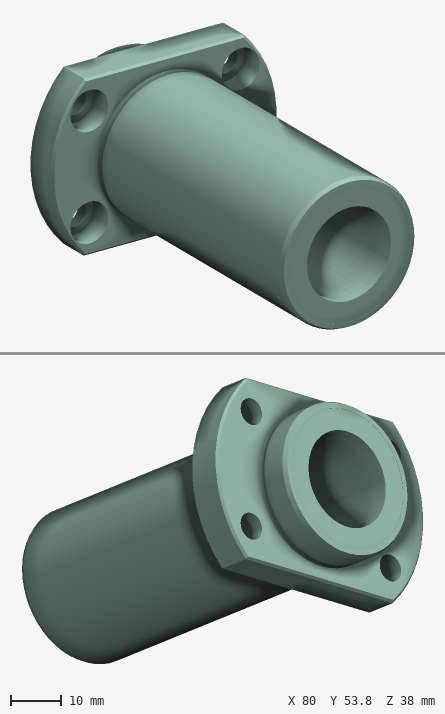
import cadquery as cq

sleeve_length = 80
sleeve_diameter = 32
bore_diameter = 20
end_chamfer_length = 1.0
end_chamfer_depth = 0.5

seal_diameter = 29.0
seal_recess = 0.1

flange_start = 8
flange_thickness = 8
flange_diameter = 53.8
flange_height = 38.0
flange_chamfer = 0.5

groove_width = 1.6
groove_depth = 0.3

hole_spacing_y = 36
hole_spacing_z = 24
hole_diameter = 5.5
counterbore_diameter = 9.0
counterbore_depth = 5.1

sleeve_radius = sleeve_diameter / 2
flange_end = flange_start + flange_thickness


def plane_at(x):
    """Return a workplane facing +X at the given distance along the sleeve."""
    return cq.Workplane("YZ", origin=(x, 0, 0))


def make_sleeve():
    """Revolve the solid sleeve with its end chamfers and arc-shaped grooves."""
    end_radius = sleeve_radius - end_chamfer_depth
    groove_radius = sleeve_radius - groove_depth
    front_groove_middle = flange_start - groove_width / 2
    rear_groove_middle = flange_end + groove_width / 2
    return (
        cq.Workplane("XY")
        .moveTo(0, 0)
        .lineTo(0, end_radius)
        .lineTo(end_chamfer_length, sleeve_radius)
        .lineTo(flange_start - groove_width, sleeve_radius)
        .threePointArc((front_groove_middle, groove_radius), (flange_start, sleeve_radius))
        .lineTo(flange_end, sleeve_radius)
        .threePointArc((rear_groove_middle, groove_radius), (flange_end + groove_width, sleeve_radius))
        .lineTo(sleeve_length - end_chamfer_length, sleeve_radius)
        .lineTo(sleeve_length, end_radius)
        .lineTo(sleeve_length, 0)
        .close()
        .revolve(360, (0, 0, 0), (1, 0, 0))
    )


def make_flange():
    """Build the chamfered flange with its four counterbored holes."""
    disc = plane_at(flange_start).circle(flange_diameter / 2).extrude(flange_thickness)
    trim = plane_at(flange_start).rect(flange_diameter, flange_height).extrude(flange_thickness)
    plate = disc.intersect(trim).faces("<X or >X").edges().chamfer(flange_chamfer)
    return (
        plate.faces(">X")
        .workplane(origin=(flange_end, 0, 0))
        .rect(hole_spacing_y, hole_spacing_z, forConstruction=True)
        .vertices()
        .cboreHole(hole_diameter, counterbore_diameter, counterbore_depth)
    )


bore = plane_at(0).circle(bore_diameter / 2).extrude(sleeve_length)
result = make_sleeve().union(make_flange()).cut(bore)

for recess_start in (0, sleeve_length - seal_recess):
    recess = plane_at(recess_start).circle(seal_diameter / 2).extrude(seal_recess)
    result = result.cut(recess)